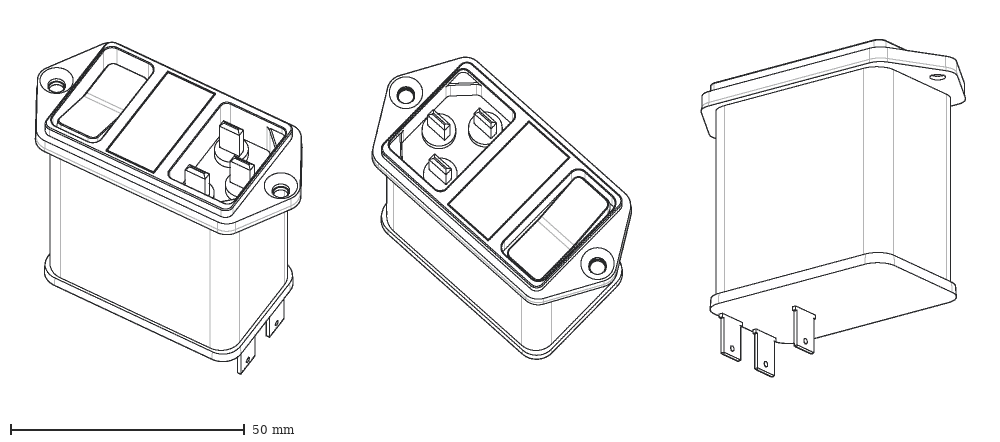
import cadquery as cq
import math

BASE_HEIGHT = 2.4
FLANGE_BOTTOM = 45.25
FLANGE_BAND = 0.9
FLANGE_TOP = 48.7
RIM_TOP = 51.2

BODY_LENGTH = 46.6
BODY_WIDTH = 27.8
BODY_RADIUS = 4.6
BASE_LENGTH = 48.45
BASE_WIDTH = 29.4
BASE_RADIUS = 4.55
BASE_TAPER = 4.0

FLANGE_LENGTH = 64.75
FLANGE_WIDTH = 31.5
FLANGE_RADIUS = 4.0
FLANGE_END_ANGLE = 60.0
FLANGE_STEP = 0.2
BAND_SLOPE_HEIGHT = 0.85
SCREW_SPACING = 56.1
SCREW_HOLE = 3.3
SCREW_NECK = 3.75
SCREW_HEAD = 7.1
COUNTERSINK_DEPTH = 1.7

RIM_RADIUS = 1.9
RIM_CHAMFER = 0.25
OPENING_CHAMFER = 0.2

SWITCH_X = -16.6
SWITCH_LENGTH = 25.1
SWITCH_WIDTH = 12.05
SWITCH_RADIUS = 2.1
SWITCH_DEPTH = 6.5
ROCKER_BACK_Y = 11.6
ROCKER_FRONT_Y = -11.35
ROCKER_WIDTH = 9.85
ROCKER_RADIUS = 1.55
ROCKER_CHAMFER = 0.2
ROCKER_LOW = 3.9
ROCKER_HIGH = 0.25
ROCKER_BEND_Y = 0.8
ROCKER_BEND_RADIUS = 4.4
ROCKER_END_BULGE = 0.6

FUSE_X = -2.0
FUSE_WIDTH = 11.8
FUSE_LENGTH = 25.4
FUSE_GROOVE = 0.2

SOCKET_LEFT = 6.6
SOCKET_RIGHT = 22.6
SOCKET_LENGTH = 24.1
SOCKET_RADIUS = 1.55
SOCKET_DEPTH = 10.0
KEY_LEG = 4.8
KEY_FACE_ANGLE = 45.0
KEY_DEPTH = 2.1
KEY_CHAMFER = 0.3
KEY_FILLET = 1.4
PIN_PLACES = [(11.4, 7.05), (18.4, 0.0), (11.4, -7.05)]
PIN_LENGTH = 5.0
PIN_WIDTH = 1.75
PIN_TIP_DEPTH = 0.25
PIN_TIP_CHAMFER = 0.7
BOSS_DIAMETER = 7.25
BOSS_HEIGHT = 1.9

TERMINAL_DROP = 9.05
TERMINAL_PLACES = [(7.85, 0.0), (23.0, 5.95), (23.0, -5.95)]
TERMINAL_WIDTH = 5.95
TERMINAL_THICKNESS = 0.85
TERMINAL_TIP = 0.3
TERMINAL_HOLE = 1.15
TERMINAL_HOLE_DROP = 7.0
SHOULDER_WIDTH = 7.1
SHOULDER_DROP = 0.85


def rounded_block(length, width, radius, bottom, top):
    """Block centred on the Z axis with rounded vertical edges."""
    block = cq.Workplane("XY").workplane(offset=bottom).rect(length, width)
    return block.extrude(top - bottom).edges("|Z").fillet(radius)


def flange_layer(inset, bottom, top):
    """Rounded hexagonal plate, drawn in evenly from the full flange outline."""
    radius = FLANGE_RADIUS - inset
    tip_x = FLANGE_LENGTH / 2 - FLANGE_RADIUS
    corner_y = FLANGE_WIDTH / 2 - FLANGE_RADIUS
    corner_x = tip_x - corner_y / math.tan(math.radians(FLANGE_END_ANGLE))
    centres = [
        (tip_x, 0),
        (corner_x, corner_y),
        (-corner_x, corner_y),
        (-tip_x, 0),
        (-corner_x, -corner_y),
        (corner_x, -corner_y),
    ]
    outline = cq.Workplane("XY").workplane(offset=bottom).polyline(centres).close().offset2D(radius)
    return outline.extrude(top - bottom)


def housing():
    base = (
        cq.Workplane("XY")
        .sketch()
        .rect(BASE_LENGTH, BASE_WIDTH)
        .vertices()
        .fillet(BASE_RADIUS)
        .finalize()
        .extrude(BASE_HEIGHT, taper=BASE_TAPER)
    )
    body = rounded_block(BODY_LENGTH, BODY_WIDTH, BODY_RADIUS, BASE_HEIGHT, FLANGE_BOTTOM)
    band_top = FLANGE_BOTTOM + FLANGE_BAND
    band = flange_layer(0, FLANGE_BOTTOM, band_top)
    band = band.faces(">Z").chamfer(BAND_SLOPE_HEIGHT, FLANGE_STEP)
    plate = flange_layer(FLANGE_STEP, band_top, FLANGE_TOP)
    rim = rounded_block(BODY_LENGTH, BODY_WIDTH, RIM_RADIUS, FLANGE_TOP, RIM_TOP)
    rim = rim.faces(">Z").chamfer(RIM_CHAMFER)
    return base.union(body).union(band).union(plate).union(rim)


def screw_hole():
    """Countersunk hole through the flange, narrower within the lower band."""
    neck_radius = SCREW_NECK / 2
    hole_radius = SCREW_HOLE / 2
    head_radius = SCREW_HEAD / 2
    ledge = FLANGE_BOTTOM + FLANGE_BAND
    profile = [
        (0, FLANGE_TOP),
        (head_radius, FLANGE_TOP),
        (neck_radius, FLANGE_TOP - COUNTERSINK_DEPTH),
        (neck_radius, ledge),
        (hole_radius, ledge),
        (hole_radius, FLANGE_BOTTOM),
        (0, FLANGE_BOTTOM),
    ]
    return cq.Workplane("XZ").polyline(profile).close().revolve()


def opening(centre_x, width, length, radius, depth):
    """Rounded pocket cutter with a chamfer where it breaks the rim."""
    cutter = rounded_block(width, length, radius, RIM_TOP - depth, RIM_TOP)
    flare = (
        cq.Workplane("XY")
        .workplane(offset=RIM_TOP)
        .sketch()
        .rect(width + 2 * OPENING_CHAMFER, length + 2 * OPENING_CHAMFER)
        .vertices()
        .fillet(radius + OPENING_CHAMFER)
        .finalize()
        .extrude(-OPENING_CHAMFER, taper=45)
    )
    return cutter.union(flare).translate((centre_x, 0, 0))


def rocker():
    """Switch rocker: pressed flat on the +Y half, rising towards a bulging -Y end."""
    floor = RIM_TOP - SWITCH_DEPTH
    low = RIM_TOP - ROCKER_LOW
    high = RIM_TOP - ROCKER_HIGH
    body = (
        cq.Workplane("YZ")
        .moveTo(ROCKER_BACK_Y, floor)
        .lineTo(ROCKER_BACK_Y, low)
        .lineTo(ROCKER_BEND_Y, low)
        .lineTo(ROCKER_FRONT_Y, high)
        .threePointArc((ROCKER_FRONT_Y - ROCKER_END_BULGE, (high + floor) / 2), (ROCKER_FRONT_Y, floor))
        .close()
        .extrude(ROCKER_WIDTH / 2, both=True)
    )
    body = body.faces("<Y or >Y").edges("not |X").fillet(ROCKER_RADIUS)
    bend = cq.selectors.NearestToPointSelector((0, ROCKER_BEND_Y, low))
    body = body.edges(bend).fillet(ROCKER_BEND_RADIUS)
    top_edge = cq.selectors.NearestToPointSelector((0, ROCKER_BACK_Y, low))
    body = body.edges(top_edge).chamfer(ROCKER_CHAMFER)
    return body.translate((SWITCH_X, 0, 0))


def fuse_groove():
    outer = cq.Workplane("XY").workplane(offset=RIM_TOP).center(FUSE_X, 0)
    outer = outer.rect(FUSE_WIDTH + FUSE_GROOVE, FUSE_LENGTH + FUSE_GROOVE)
    ring = outer.rect(FUSE_WIDTH - FUSE_GROOVE, FUSE_LENGTH - FUSE_GROOVE)
    return ring.extrude(-FUSE_GROOVE)


def socket_cutter():
    """Socket pocket with the two keyed corners left standing on the +X side."""
    width = SOCKET_RIGHT - SOCKET_LEFT
    centre_x = (SOCKET_LEFT + SOCKET_RIGHT) / 2
    cutter = opening(centre_x, width, SOCKET_LENGTH, SOCKET_RADIUS, SOCKET_DEPTH)
    for side in (1, -1):
        cutter = cutter.cut(corner_key(side))
    return cutter


def corner_key(side):
    """Triangular corner block blended into the socket walls."""
    wall_y = side * SOCKET_LENGTH / 2
    floor = RIM_TOP - SOCKET_DEPTH
    key_height = SOCKET_DEPTH - KEY_DEPTH
    half_turn = math.radians(KEY_FACE_ANGLE / 2)
    blend = KEY_FILLET * math.tan(half_turn)
    diagonal = blend * math.cos(math.radians(KEY_FACE_ANGLE))
    sag = KEY_FILLET * (1 - math.cos(half_turn))
    start = (SOCKET_RIGHT - KEY_LEG, wall_y)
    end = (SOCKET_RIGHT, wall_y - side * KEY_LEG)
    key = (
        cq.Workplane("XY")
        .workplane(offset=floor)
        .moveTo(SOCKET_RIGHT, wall_y)
        .lineTo(start[0] - blend, start[1])
        .sagittaArc((start[0] + diagonal, start[1] - side * diagonal), side * sag)
        .lineTo(end[0] - diagonal, end[1] + side * diagonal)
        .sagittaArc((end[0], end[1] - side * blend), side * sag)
        .close()
        .extrude(key_height)
    )
    bar_side = KEY_CHAMFER * math.sqrt(2)
    slope = cq.Workplane("XY").box(4 * KEY_LEG, bar_side, bar_side)
    slope = slope.rotate((0, 0, 0), (1, 0, 0), 45)
    slope = slope.rotate((0, 0, 0), (0, 0, 1), -KEY_FACE_ANGLE * side)
    middle = ((start[0] + end[0]) / 2, (start[1] + end[1]) / 2, floor + key_height)
    return key.cut(slope.translate(middle))


def contact_pin():
    """Insulating boss carrying a flat blade with a chamfered tip."""
    floor = RIM_TOP - SOCKET_DEPTH
    boss = cq.Workplane("XY").workplane(offset=floor).circle(BOSS_DIAMETER / 2).extrude(BOSS_HEIGHT)
    blade = cq.Workplane("XY").workplane(offset=floor).rect(PIN_LENGTH, PIN_WIDTH)
    blade = blade.extrude(SOCKET_DEPTH - PIN_TIP_DEPTH).faces(">Z").chamfer(PIN_TIP_CHAMFER)
    return boss.union(blade)


def terminal():
    shoulder = cq.Workplane("XY").rect(TERMINAL_THICKNESS, SHOULDER_WIDTH).extrude(-SHOULDER_DROP)
    tab = cq.Workplane("XY").rect(TERMINAL_THICKNESS, TERMINAL_WIDTH).extrude(-TERMINAL_DROP)
    tab = tab.faces("<Z").chamfer(TERMINAL_TIP)
    hole = cq.Workplane("YZ").center(0, -TERMINAL_HOLE_DROP).circle(TERMINAL_HOLE / 2)
    return shoulder.union(tab).cut(hole.extrude(TERMINAL_THICKNESS, both=True))


part = housing()
for side in (1, -1):
    part = part.cut(screw_hole().translate((side * SCREW_SPACING / 2, 0, 0)))
part = part.cut(opening(SWITCH_X, SWITCH_WIDTH, SWITCH_LENGTH, SWITCH_RADIUS, SWITCH_DEPTH))
part = part.union(rocker())
part = part.cut(fuse_groove())
part = part.cut(socket_cutter())
for x, y in PIN_PLACES:
    part = part.union(contact_pin().translate((x, y, 0)))
for x, y in TERMINAL_PLACES:
    part = part.union(terminal().translate((x, y, 0)))

result = part